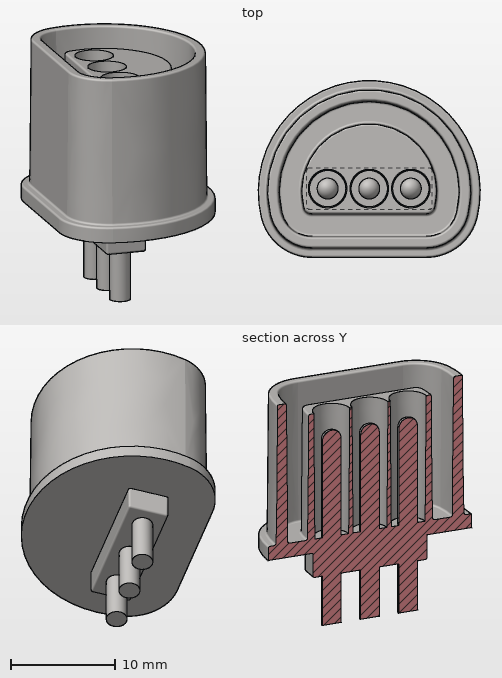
import cadquery as cq
import math

total_height = 23.6
block_bottom = 5.1
flange_bottom = 7.62
flange_thickness = 1.49
flange_top = flange_bottom + flange_thickness
pocket_floor = flange_top
island_drop = 1.5
island_top = total_height - island_drop
pin_recess = 2.0
pin_top = island_top - pin_recess

flange_length_y = 16.97
arc_radius = 10.65
flat_distance = flange_length_y - arc_radius
corner_radius = 5.0
corner_y = corner_radius - flat_distance
corner_x = math.sqrt((arc_radius - corner_radius) ** 2 - corner_y ** 2)

draft_angle = 0.5
shell_base_inset = 0.8
wall_thickness = 1.0
island_base_inset = 4.08

edge_fillet = 0.2
level_tolerance = 0.02

pin_count = 3
pin_pitch = 4.0
pin_diameter = 2.0
pin_y = 0.28
hole_diameter = 3.7

block_length = 12.0
block_width = 4.0


def draft_shift(height):
    """Sideways drift of a drafted wall over the given height."""
    return height * math.tan(math.radians(draft_angle))


def d_outline(inset, z):
    """D outline at height z, parallel to the flange outline and inset from it."""
    big = arc_radius - inset
    corner = corner_radius - inset
    flat_y = inset - flat_distance
    tangent_angle = math.atan2(corner_y, corner_x)
    tangent_x = big * math.cos(tangent_angle)
    tangent_y = big * math.sin(tangent_angle)
    middle_angle = (tangent_angle - math.pi / 2) / 2
    middle_x = corner_x + corner * math.cos(middle_angle)
    middle_y = corner_y + corner * math.sin(middle_angle)
    return (
        cq.Workplane("XY", origin=(0, 0, z))
        .moveTo(-corner_x, flat_y)
        .lineTo(corner_x, flat_y)
        .threePointArc((middle_x, middle_y), (tangent_x, tangent_y))
        .threePointArc((0, big), (-tangent_x, tangent_y))
        .threePointArc((-middle_x, middle_y), (-corner_x, flat_y))
        .close()
    )


def d_solid(bottom_inset, top_inset, bottom, top):
    """Solid between two D outlines."""
    wires = [d_outline(bottom_inset, bottom).val(), d_outline(top_inset, top).val()]
    return cq.Workplane(cq.Solid.makeLoft(wires, True))


def round_edges_at(body, z):
    """Fillet every edge lying in the horizontal plane at height z."""
    reach = 2 * arc_radius
    lower_corner = (-reach, -reach, z - level_tolerance)
    upper_corner = (reach, reach, z + level_tolerance)
    level = cq.selectors.BoxSelector(lower_corner, upper_corner)
    return body.edges(level).fillet(edge_fillet)


def make_housing():
    """Flange and drafted shell with an open pocket around a drafted island."""
    shell_top_inset = shell_base_inset + draft_shift(total_height - flange_top)
    pocket_top_inset = shell_top_inset + wall_thickness
    pocket_floor_inset = pocket_top_inset + draft_shift(total_height - pocket_floor)
    island_top_inset = island_base_inset + draft_shift(island_top - pocket_floor)

    flange = d_outline(0, flange_bottom).extrude(flange_thickness)
    shell = d_solid(shell_base_inset, shell_top_inset, flange_top, total_height)
    housing = round_edges_at(flange.union(shell), flange_top)

    pocket = d_solid(pocket_floor_inset, pocket_top_inset, pocket_floor, total_height)
    island = d_solid(island_base_inset, island_top_inset, pocket_floor, island_top)
    trench = pocket.cut(island)
    trench = round_edges_at(trench, pocket_floor)
    trench = round_edges_at(trench, island_top)
    return round_edges_at(housing.cut(trench), total_height)


def make_block():
    """Drafted rectangular block under the flange with rounded sides and bottom."""
    return (
        cq.Workplane("XY", origin=(0, pin_y, flange_bottom))
        .rect(block_length, block_width)
        .extrude(block_bottom - flange_bottom, taper=draft_angle)
        .edges("not >Z")
        .fillet(edge_fillet)
    )


def pin_positions():
    """Pin axes in a row centred on X."""
    middle = (pin_count - 1) / 2
    return [((i - middle) * pin_pitch, pin_y) for i in range(pin_count)]


def make_pin(x, y):
    """Round pin with a hemispherical tip."""
    radius = pin_diameter / 2
    shaft_top = pin_top - radius
    shaft = cq.Workplane("XY").circle(radius).extrude(shaft_top)
    tip = cq.Workplane("XY", origin=(0, 0, shaft_top)).sphere(radius)
    return shaft.union(tip).translate((x, y, 0))


def make_hole(x, y):
    """Drafted contact well, narrowing from the island top to the pocket floor."""
    return (
        cq.Workplane("XY", origin=(x, y, island_top))
        .circle(hole_diameter / 2)
        .extrude(pocket_floor - island_top, taper=draft_angle)
    )


result = make_housing().union(make_block())
for x, y in pin_positions():
    result = result.cut(make_hole(x, y)).union(make_pin(x, y))